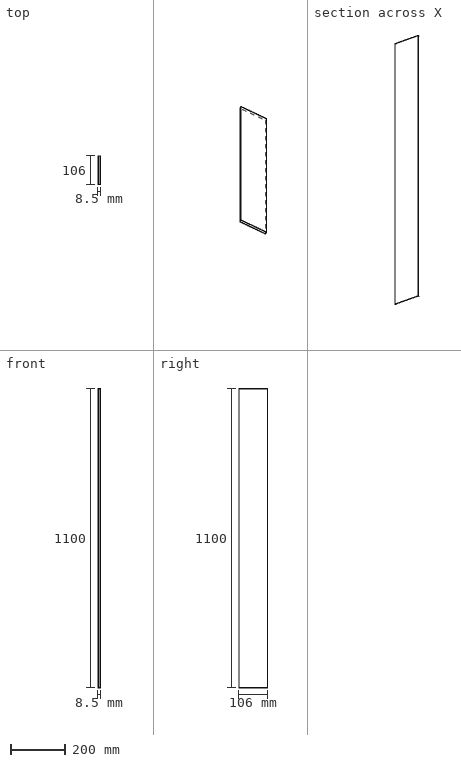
import cadquery as cq

thickness = 8.5
width = 106.0
height = 1100.0

wall = 0.8

bore_thickness = thickness - 2 * wall
bore_width = width - 2 * wall


def flat_tube():
    """Thin-walled tube along Z, open at both ends and centred on the origin."""
    profile = cq.Workplane("XY").rect(thickness, width).rect(bore_thickness, bore_width)
    return profile.extrude(height / 2, both=True)


result = flat_tube()